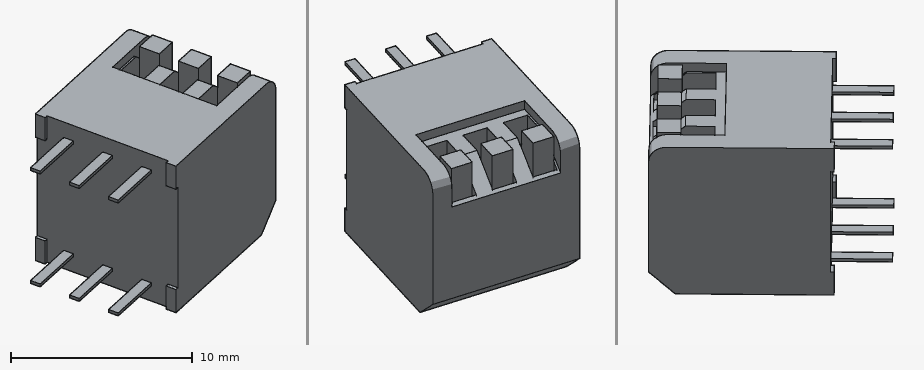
import cadquery as cq

width = 9.18
height = 9.9
total_length = 13.4
pin_length = 3.19
back_y = total_length - pin_length
top_z = height / 2
back_fillet = 1.0
back_chamfer = 1.47

foot_width = 0.64
foot_height = 1.57
foot_depth = 0.2

switch_count = 3
pitch = 2.55
row_spacing = 7.62
pin_width = 0.63
pin_thickness = 0.2

recess_width = 6.78
recess_length = 4.18
recess_depth = 0.58
slope_length = 2.0
slope_drop = 1.68

slot_width = 1.5
outer_slot_shift = 0.03
slot_back_gap = 0.19
slot_length = 3.43
slot_depth = 2.41
lever_width = 1.3
lever_length = 1.33
lever_back_gap = 0.43


def box(x_center, x_size, y_min, y_max, z_min, z_max):
    """Axis-aligned block centred in X and bounded in Y and Z."""
    block = cq.Workplane("XY").box(x_size, y_max - y_min, z_max - z_min)
    return block.translate((x_center, (y_min + y_max) / 2, (z_min + z_max) / 2))


def make_housing():
    body = box(0, width, foot_depth, back_y, -top_z, top_z)
    body = body.edges(">Y and >Z").fillet(back_fillet)
    body = body.edges(">Y and <Z").chamfer(back_chamfer)
    for side_x in (-1, 1):
        x_center = side_x * (width - foot_width) / 2
        body = body.union(box(x_center, foot_width, 0, foot_depth, top_z - foot_height, top_z))
        body = body.union(box(x_center, foot_width, 0, foot_depth, -top_z, foot_height - top_z))
    return body


def make_recess():
    floor_z = top_z - recess_depth
    profile = [
        (back_y - recess_length, top_z),
        (back_y - recess_length, floor_z),
        (back_y - slope_length, floor_z),
        (back_y, floor_z - slope_drop),
        (back_y, top_z),
    ]
    recess = cq.Workplane("YZ").polyline(profile).close()
    return recess.extrude(recess_width / 2, both=True)


def make_slot(side):
    slot_back = back_y - slot_back_gap
    x_center = side * (pitch - outer_slot_shift)
    return box(x_center, slot_width, slot_back - slot_length, slot_back, top_z - slot_depth, top_z)


def make_lever(side):
    lever_back = back_y - lever_back_gap
    return box(side * pitch, lever_width, lever_back - lever_length, lever_back, top_z - slot_depth, top_z)


def make_pin(side, z_center):
    half = pin_thickness / 2
    return box(side * pitch, pin_width, -pin_length, foot_depth, z_center - half, z_center + half)


result = make_housing().cut(make_recess())
for index in range(switch_count):
    side = index - (switch_count - 1) / 2
    result = result.cut(make_slot(side)).union(make_lever(side))
    for row_z in (-row_spacing / 2, row_spacing / 2):
        result = result.union(make_pin(side, row_z))